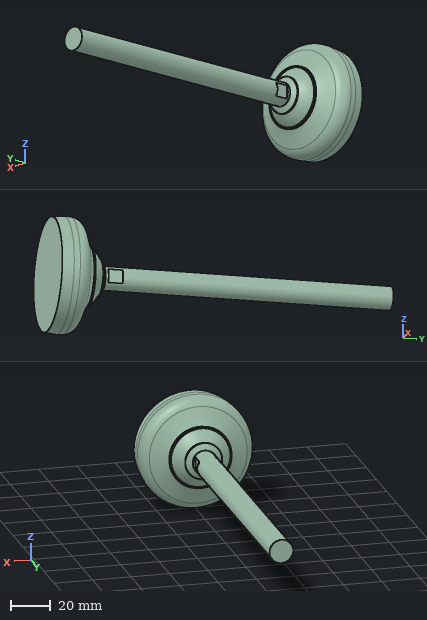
import cadquery as cq
import math

overall_length = 178.0
floor_y = -overall_length / 2

base_radius = 30.0
floor_radius = 29.4
taper_height = 5.9
shoulder_start_height = 9.0
shoulder_radius = 7.1
shoulder_angle = math.radians(68)
flank_sag = 0.4
rim_outer_radius = 16.2
rim_outer_height = 20.0
rim_height = 20.8

ball_radius = 18.9
ball_center_height = 10.0

stem_radius = 6.2
collar_radius = 9.6
collar_bottom_height = math.sqrt(ball_radius**2 - collar_radius**2) + ball_center_height
collar_edge = 0.7
collar_top_height = 28.5
flat_half_width = 5.2
flat_bottom_height = 30.0
flat_top_height = 37.5


def turn(profile):
    """Revolve a radius-height profile about Y and set its floor level."""
    return profile.close().revolve(360, (0, 0, 0), (0, 1, 0)).translate((0, floor_y, 0))


def make_ball():
    side = math.sqrt(0.5) * ball_radius
    profile = (
        cq.Workplane("XY")
        .moveTo(0, ball_center_height)
        .lineTo(ball_radius, ball_center_height)
        .threePointArc((side, ball_center_height + side), (0, ball_center_height + ball_radius))
    )
    return turn(profile)


def make_base():
    def shoulder_point(angle):
        return (
            base_radius - shoulder_radius * (1 - math.cos(angle)),
            shoulder_start_height + shoulder_radius * math.sin(angle),
        )

    shoulder_end = shoulder_point(shoulder_angle)
    flank_middle = (
        (shoulder_end[0] + rim_outer_radius) / 2,
        (shoulder_end[1] + rim_outer_height) / 2 - flank_sag,
    )
    profile = (
        cq.Workplane("XY")
        .lineTo(floor_radius, 0)
        .lineTo(base_radius, taper_height)
        .lineTo(base_radius, shoulder_start_height)
        .threePointArc(shoulder_point(shoulder_angle / 2), shoulder_end)
        .threePointArc(flank_middle, (rim_outer_radius, rim_outer_height))
        .lineTo(rim_outer_radius, rim_height)
        .lineTo(0, rim_height)
    )
    return turn(profile).cut(make_ball())


def make_spindle():
    profile = (
        cq.Workplane("XY")
        .moveTo(0, ball_center_height)
        .lineTo(stem_radius, ball_center_height)
        .lineTo(stem_radius, collar_bottom_height)
        .lineTo(collar_radius, collar_bottom_height)
        .lineTo(collar_radius, collar_bottom_height + collar_edge)
        .lineTo(stem_radius, collar_top_height)
        .lineTo(stem_radius, overall_length)
        .lineTo(0, overall_length)
    )
    spindle = turn(profile).union(make_ball())

    flat_length = flat_top_height - flat_bottom_height
    flat_middle_y = floor_y + (flat_bottom_height + flat_top_height) / 2
    for side in (-1, 1):
        cutter = cq.Workplane("XY").box(stem_radius, flat_length, 2 * stem_radius)
        cutter_x = side * (flat_half_width + stem_radius / 2)
        spindle = spindle.cut(cutter.translate((cutter_x, flat_middle_y, 0)))
    return spindle


base = make_base()
spindle = make_spindle()
result = cq.Compound.makeCompound([base.solids().val(), spindle.solids().val()])